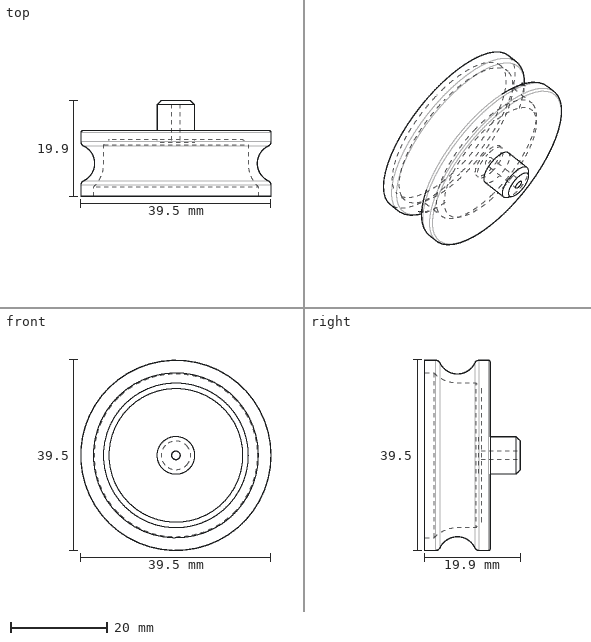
import cadquery as cq
import math

rim_radius = 19.75
wheel_width = 13.65
mid_width = wheel_width / 2
rear_edge_fillet = 0.45

groove_bottom_radius = 16.9
groove_arc_radius = 4.0
lip_radius = 1.0
groove_center_radius = groove_bottom_radius + groove_arc_radius

recess_mouth_radius = 17.1
recess_mouth_depth = 1.98
recess_bore_radius = 15.0
recess_depth = 11.8
floor_chamfer = 1.15

hub_radius = 3.9
hub_start = 11.2
hub_end = 19.9
hub_chamfer = 0.9
hole_radius = 0.85


def throat_arc_point(throat_radius, arc_radius, axial_offset):
    """Point (radius, Y) on an arc narrowest at mid width, offset along Y from mid width."""
    radial_offset = math.sqrt(arc_radius**2 - axial_offset**2)
    return throat_radius + arc_radius - radial_offset, mid_width + axial_offset


def revolve_about_y(profile):
    return profile.close().revolve(360, (0, 0, 0), (0, 1, 0))


def make_wheel():
    lip_center_radius = rim_radius - lip_radius
    center_distance = groove_arc_radius + lip_radius
    lip_offset = math.sqrt(center_distance**2 - (groove_center_radius - lip_center_radius) ** 2)
    groove_end_offset = lip_offset * groove_arc_radius / center_distance
    groove_front = throat_arc_point(groove_bottom_radius, groove_arc_radius, -groove_end_offset)
    groove_rear = throat_arc_point(groove_bottom_radius, groove_arc_radius, groove_end_offset)

    lip_half_angle = math.asin(lip_offset / center_distance) / 2
    lip_mid_radius = lip_center_radius + lip_radius * math.cos(lip_half_angle)
    lip_mid_offset = lip_offset - lip_radius * math.sin(lip_half_angle)

    profile = (
        cq.Workplane("XY")
        .lineTo(rim_radius, 0)
        .lineTo(rim_radius, mid_width - lip_offset)
        .threePointArc((lip_mid_radius, mid_width - lip_mid_offset), groove_front)
        .threePointArc((groove_bottom_radius, mid_width), groove_rear)
        .threePointArc((lip_mid_radius, mid_width + lip_mid_offset), (rim_radius, mid_width + lip_offset))
        .lineTo(rim_radius, wheel_width)
        .lineTo(0, wheel_width)
    )
    return revolve_about_y(profile).faces(">Y").edges().fillet(rear_edge_fillet)


def make_recess():
    arc_length_along_y = mid_width - recess_mouth_depth
    arc_rise = recess_mouth_radius - recess_bore_radius
    recess_arc_radius = (arc_length_along_y**2 + arc_rise**2) / (2 * arc_rise)
    profile = (
        cq.Workplane("XY")
        .lineTo(recess_mouth_radius, 0)
        .lineTo(recess_mouth_radius, recess_mouth_depth)
        .threePointArc(
            throat_arc_point(recess_bore_radius, recess_arc_radius, -arc_length_along_y / 2),
            (recess_bore_radius, mid_width),
        )
        .lineTo(recess_bore_radius, recess_depth - floor_chamfer)
        .lineTo(recess_bore_radius - floor_chamfer, recess_depth)
        .lineTo(0, recess_depth)
    )
    return revolve_about_y(profile)


def y_cylinder(radius, start, end):
    return cq.Workplane("XZ", origin=(0, end, 0)).circle(radius).extrude(end - start)


hub = y_cylinder(hub_radius, hub_start, hub_end).faces(">Y").chamfer(hub_chamfer)
hole = y_cylinder(hole_radius, 0, hub_end)

result = make_wheel().cut(make_recess()).union(hub).cut(hole)